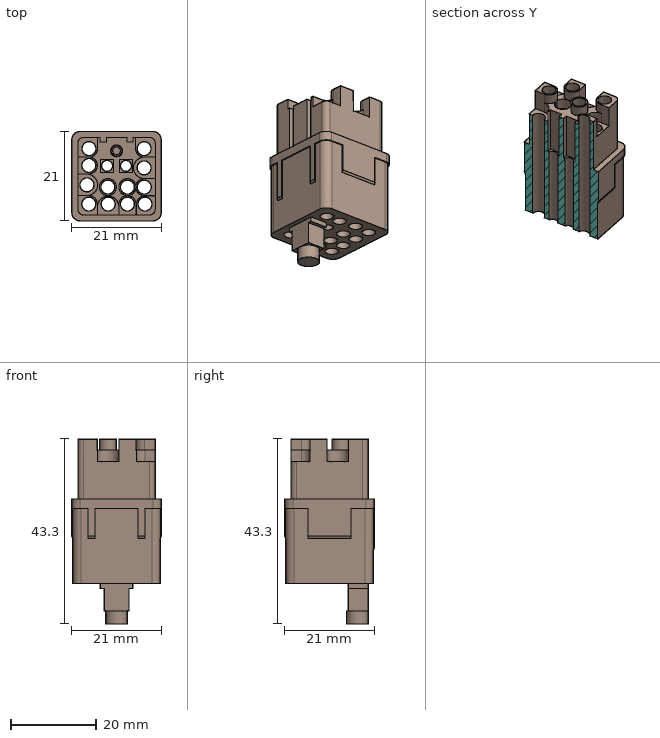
import cadquery as cq

TOP = 43.3
DECK = 40.8
POCKET_FLOOR = 38.05
FLANGE_TOP = 29.3
FLANGE_BOTTOM = 27.1
BODY_BOTTOM = 9.5
TERMINAL_STEP = 8.3
BARREL_TOP = 3.1

INSERT_WIDTH = 18.15
INSERT_CORNER = 1.35
FLANGE_WIDTH = 21.0
FLANGE_CORNER = 2.0
BODY_WIDTH = 20.52
BODY_CORNER = 2.0
INSERT_HALF = INSERT_WIDTH / 2
RIB_HEIGHT = (FLANGE_WIDTH - BODY_WIDTH) / 2

NARROW_RIB_WIDTH = 1.7
NARROW_RIB_OFFSET = 5.85
WIDE_RIB_WIDTH = 10.05
RIB_END = 20.05
BACK_RIB_END = 17.25
RIB_RAMP = 0.55

CONTACT_RADIUS = 1.6
SMALL_CELL = 2.0
LARGE_CELL = 2.5
RAISED_CELLS = [
    (-6.5, -6.55, SMALL_CELL, -1, -1),
    (2.55, -6.55, SMALL_CELL, 0, -1),
    (-6.5, 2.5, SMALL_CELL, -1, 0),
    (6.5, -2.55, SMALL_CELL, 1, 0),
    (6.45, 6.45, SMALL_CELL, 1, 1),
    (-2.05, -2.55, SMALL_CELL, 0, 0),
]
SUNKEN_CELLS = [
    (-6.45, 6.45, SMALL_CELL, -1, 1),
    (-6.93, -2.05, LARGE_CELL, -1, 0),
    (-1.95, -7.2, LARGE_CELL, 0, -1),
    (6.65, -6.6, SMALL_CELL, 1, -1),
    (6.5, 1.95, LARGE_CELL, 1, 0),
    (2.55, -2.55, SMALL_CELL, 0, 0),
]
CONTACT_HOLES = [
    (-6.5, -6.55), (-1.95, -6.55), (2.55, -6.55), (6.65, -6.55),
    (-6.93, -2.05), (-2.05, -2.55), (2.55, -2.55), (6.5, -2.55),
    (-6.5, 2.5), (6.45, 1.95), (-6.45, 6.45), (6.45, 6.45),
]

SOCKET_SIZE = 3.05
SOCKET_X = 2.2
SOCKET_Y = 2.42
SOCKET_HOLE_RADIUS = 1.25
NOTCH_WIDTH = 1.45
NOTCH_DEPTH = 1.05
NOTCH_X = 3.1

GROUND_Y = 5.95
GROUND_HOLE_RADIUS = 1.4
GROUND_CONTACT_RADIUS = 1.25
GROUND_BORE_RADIUS = 0.9
GROUND_BORE_DEPTH = 6.5
GROUND_CONTACT_TOP = FLANGE_TOP

TERMINAL_BACK = INSERT_HALF
TERMINAL_DEPTH = 4.7
TERMINAL_HEAD_WIDTH = 7.7
TERMINAL_NECK_WIDTH = 5.85
BARREL_RADIUS = 2.55


def block(x_ends, y_ends, z_ends):
    """Box between two opposite corners, the ends given in any order."""
    (x0, x1), (y0, y1), (z0, z1) = (sorted(ends) for ends in (x_ends, y_ends, z_ends))
    return cq.Workplane("XY").box(x1 - x0, y1 - y0, z1 - z0, centered=False).translate((x0, y0, z0))


def cylinder(x, y, radius, bottom, top):
    return cq.Workplane("XY", origin=(x, y, bottom)).circle(radius).extrude(top - bottom)


def rounded_square(width, corner, bottom, top):
    prism = cq.Workplane("XY", origin=(0, 0, bottom)).rect(width, width).extrude(top - bottom)
    return prism.edges("|Z").fillet(corner)


def cell_span(centre, radius, side):
    """Extent of a cell along one axis, reaching the wall on its open side."""
    if side:
        return centre - side * radius, side * INSERT_HALF
    return centre - radius, centre + radius


def contact_cell(x, y, radius, x_side, y_side):
    """Round contact cell from the pocket floor up, carried out square to its open sides."""
    height = (POCKET_FLOOR, TOP)
    cell = cylinder(x, y, radius, *height)
    if x_side:
        cell = cell.union(block((x, x_side * INSERT_HALF), cell_span(y, radius, y_side), height))
    if y_side:
        cell = cell.union(block(cell_span(x, radius, x_side), (y, y_side * INSERT_HALF), height))
    return cell


def wall_rib(centre, width, bottom, turn):
    """Rib on the -Y wall, sloped at its lower end, turned about Z to its own wall."""
    wall = -BODY_WIDTH / 2
    profile = [
        (wall, bottom),
        (wall - RIB_HEIGHT, bottom + RIB_RAMP),
        (wall - RIB_HEIGHT, FLANGE_BOTTOM),
        (wall, FLANGE_BOTTOM),
    ]
    rib = cq.Workplane("YZ", origin=(centre - width / 2, 0, 0)).polyline(profile).close().extrude(width)
    return rib.rotate((0, 0, 0), (0, 0, 1), turn)


def make_insert():
    """Upper part of the housing with its sunken and raised contact cells."""
    insert = rounded_square(INSERT_WIDTH, INSERT_CORNER, FLANGE_TOP, DECK)
    outline = rounded_square(INSERT_WIDTH, INSERT_CORNER, POCKET_FLOOR, TOP)
    for cell in SUNKEN_CELLS:
        insert = insert.cut(contact_cell(*cell))
    for cell in RAISED_CELLS:
        insert = insert.union(contact_cell(*cell).intersect(outline))
    for x in (-NOTCH_X, NOTCH_X):
        notch_x = (x - NOTCH_WIDTH / 2, x + NOTCH_WIDTH / 2)
        insert = insert.cut(block(notch_x, (INSERT_HALF - NOTCH_DEPTH, INSERT_HALF), (FLANGE_TOP, DECK)))
    return insert


def make_housing():
    housing = rounded_square(BODY_WIDTH, BODY_CORNER, BODY_BOTTOM, FLANGE_BOTTOM)
    housing = housing.union(rounded_square(FLANGE_WIDTH, FLANGE_CORNER, FLANGE_BOTTOM, FLANGE_TOP))
    housing = housing.union(make_insert())

    for centre in (-NARROW_RIB_OFFSET, NARROW_RIB_OFFSET):
        housing = housing.union(wall_rib(centre, NARROW_RIB_WIDTH, RIB_END, 0))
        housing = housing.union(wall_rib(centre, NARROW_RIB_WIDTH, BACK_RIB_END, 180))
    for turn in (-90, 90):
        housing = housing.union(wall_rib(0, WIDE_RIB_WIDTH, RIB_END, turn))

    for x, y in CONTACT_HOLES:
        housing = housing.cut(cylinder(x, y, CONTACT_RADIUS, BODY_BOTTOM, TOP))

    half_socket = SOCKET_SIZE / 2
    for x in (-SOCKET_X, SOCKET_X):
        socket_x = (x - half_socket, x + half_socket)
        socket_y = (SOCKET_Y - half_socket, SOCKET_Y + half_socket)
        housing = housing.cut(block(socket_x, socket_y, (FLANGE_TOP, DECK)))
        housing = housing.cut(cylinder(x, SOCKET_Y, SOCKET_HOLE_RADIUS, BODY_BOTTOM, FLANGE_TOP))

    return housing.cut(cylinder(0, GROUND_Y, GROUND_HOLE_RADIUS, BODY_BOTTOM, DECK))


def make_ground_contact():
    """Hollow-ended contact that stands on the terminal, clear of the hole around it."""
    contact = cylinder(0, GROUND_Y, GROUND_CONTACT_RADIUS, BODY_BOTTOM, GROUND_CONTACT_TOP)
    bore_floor = GROUND_CONTACT_TOP - GROUND_BORE_DEPTH
    return contact.cut(cylinder(0, GROUND_Y, GROUND_BORE_RADIUS, bore_floor, GROUND_CONTACT_TOP))


def make_ground_terminal():
    """Stepped block under the housing with a round barrel at its foot."""
    depth = (TERMINAL_BACK - TERMINAL_DEPTH, TERMINAL_BACK)
    half_head = TERMINAL_HEAD_WIDTH / 2
    half_neck = TERMINAL_NECK_WIDTH / 2
    head = block((-half_head, half_head), depth, (TERMINAL_STEP, BODY_BOTTOM))
    neck = block((-half_neck, half_neck), depth, (BARREL_TOP, TERMINAL_STEP))
    barrel = cylinder(0, TERMINAL_BACK - BARREL_RADIUS, BARREL_RADIUS, 0, BARREL_TOP)
    return head.union(neck).union(barrel)


housing = make_housing()
ground_contact = make_ground_contact()
ground_terminal = make_ground_terminal()
bodies = (housing, ground_contact, ground_terminal)
result = cq.Compound.makeCompound([body.solids().val() for body in bodies])